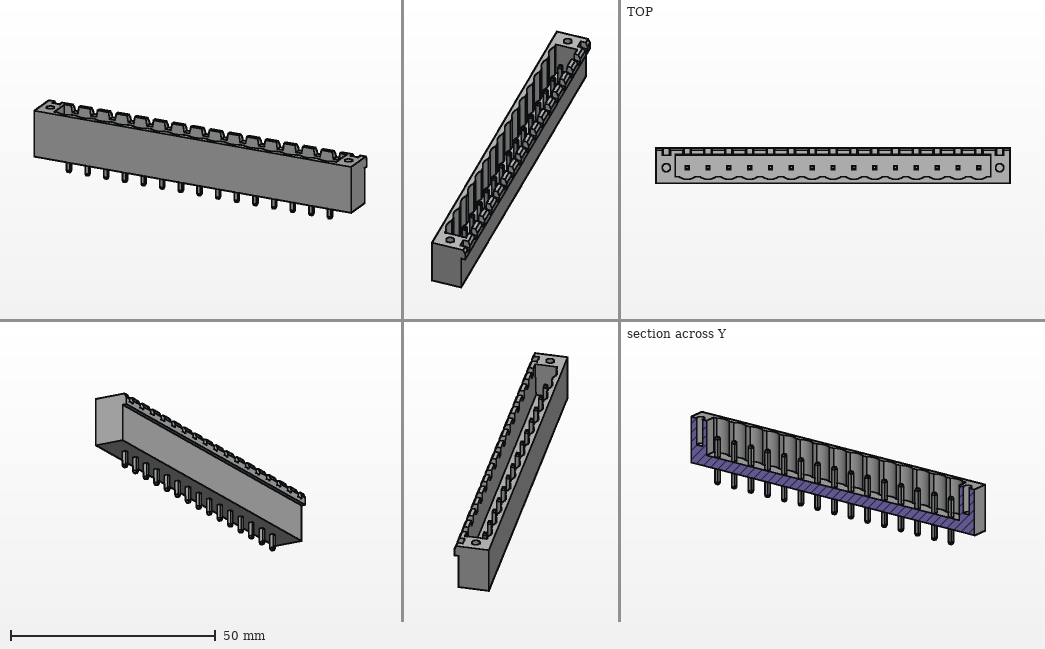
import cadquery as cq


length = 86.4
total_depth = 8.6
total_height = 16.0
pin_count = 15
pitch = length / (pin_count + 2)
pin_xs = [(i - (pin_count - 1) / 2) * pitch for i in range(pin_count)]
flange_xs = [-(length - pitch) / 2, (length - pitch) / 2]

pin_drop = 4.0
housing_height = total_height - pin_drop
body_depth = 7.6
lip_height = 2.85
lip_bevel_depth = 0.5
lip_bevel_height = 1.0

end_wall = 4.75
cavity_length = length - 2 * end_wall
cavity_floor = 3.0
front_wall = 1.55
back_wall_top = 1.55
back_wall_base = 1.8
scallop_width = 3.8
scallop_depth = 0.6

notch_top_width = 2.1
notch_base_width = 1.5
notch_depth = 1.7

row_y = 3.8
pin_size = 0.95
pin_taper_inset = 0.2
pin_taper_length = 0.5
pin_top = 8.2
screw_hole_diameter = 2.0
screw_hole_depth = 6.9


def extrude_along_x(profile_yz, run):
    """Closed (y, z) outline extruded along X, centred on X = 0."""
    return cq.Workplane("YZ").polyline(profile_yz).close().extrude(run / 2, both=True)


def make_housing():
    lip_underside = housing_height - lip_height
    return extrude_along_x(
        [
            (0, 0),
            (body_depth, 0),
            (body_depth, lip_underside),
            (total_depth, lip_underside),
            (total_depth, housing_height - lip_bevel_height),
            (total_depth - lip_bevel_depth, housing_height),
            (0, housing_height),
        ],
        length,
    )


def make_cavity():
    """Plug space with a slightly drafted back wall."""
    return extrude_along_x(
        [
            (front_wall, cavity_floor),
            (total_depth - back_wall_base, cavity_floor),
            (total_depth - back_wall_top, housing_height),
            (front_wall, housing_height),
        ],
        cavity_length,
    )


def make_scallop(x):
    """Shallow arc groove in the cavity's front wall, facing one pin."""
    half_width = scallop_width / 2
    return (
        cq.Workplane("XY", origin=(x, front_wall, cavity_floor))
        .moveTo(-half_width, 0)
        .threePointArc((0, -scallop_depth), (half_width, 0))
        .close()
        .extrude(housing_height - cavity_floor)
    )


def make_notch(x):
    """Tapered notch through the lip and back wall, narrowing downwards."""
    notch_floor = housing_height - notch_depth
    return (
        cq.Workplane("XZ", origin=(x, total_depth, 0))
        .polyline(
            [
                (-notch_base_width / 2, notch_floor),
                (notch_base_width / 2, notch_floor),
                (notch_top_width / 2, housing_height),
                (-notch_top_width / 2, housing_height),
            ]
        )
        .close()
        .extrude(back_wall_base)
    )


def make_pin(x):
    """Square pin with tapered tips at both ends."""
    tip_size = pin_size - 2 * pin_taper_inset
    shaft_bottom = -pin_drop + pin_taper_length
    shaft_top = pin_top - pin_taper_length
    pin = (
        cq.Workplane("XY", origin=(x, row_y, shaft_bottom))
        .rect(pin_size, pin_size)
        .extrude(shaft_top - shaft_bottom)
    )
    for face in (">Z", "<Z"):
        tip = (
            pin.faces(face)
            .workplane(centerOption="CenterOfBoundBox")
            .rect(pin_size, pin_size)
            .workplane(offset=pin_taper_length)
            .rect(tip_size, tip_size)
            .loft(combine=False)
        )
        pin = pin.union(tip)
    return pin


def make_screw_holes():
    return (
        cq.Workplane("XY", origin=(0, 0, housing_height))
        .pushPoints([(x, row_y) for x in flange_xs])
        .circle(screw_hole_diameter / 2)
        .extrude(-screw_hole_depth)
    )


result = make_housing().cut(make_cavity()).cut(make_screw_holes())
for notch_x in pin_xs + flange_xs:
    result = result.cut(make_notch(notch_x))
for pin_x in pin_xs:
    result = result.cut(make_scallop(pin_x))
    result = result.union(make_pin(pin_x))